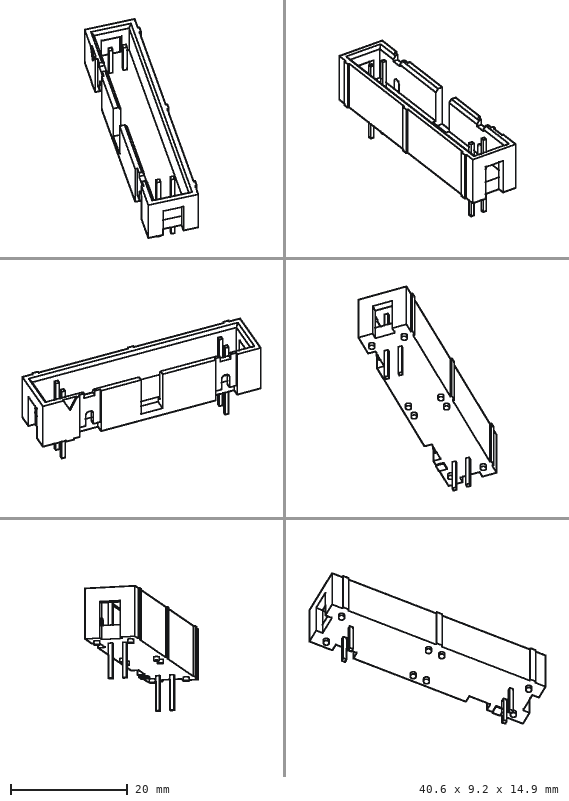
import cadquery as cq

LENGTH = 40.65
DEPTH = 8.9
HEIGHT = 8.8
FLOOR_TOP = 2.45
SIDE_WALL = 1.35
END_WALL = 1.25
RIM_CHAMFER_WIDTH = 0.45
RIM_CHAMFER_HEIGHT = 0.6
FRONT = -DEPTH / 2
BACK = DEPTH / 2

PIN_WIDTH = 0.65
PIN_SPAN_X = 30.5
PIN_PITCH = 2.5
PIN_TOP = 8.4
PIN_BOTTOM = -6.1

KEY_WIDTH = 4.02
KEY_DEPTH = 2.0
KEY_BOTTOM = 1.42

RECESS_CENTRES_X = (-11.45, 13.95)
RECESS_WIDTH = 4.0
RECESS_DEPTH = 0.4
RECESS_FOOT_HEIGHT = 1.7
LATCH_SLOT_WIDTH = 1.45
LATCH_SLOT_TOP = 4.67
RIM_NOTCH_WIDTH = 2.0
RIM_NOTCH_DEPTH = 0.98

WINDOW_WIDTH = 3.6
WINDOW_TOP = 6.4

MARK_X = -PIN_SPAN_X / 2
MARK_WIDTH = 2.5
MARK_HEIGHT = 2.45
MARK_DEPTH = 0.25
PAD_WIDTH = 1.5
PAD_HEIGHT = 0.25

RIB_WIDTH = 1.05
RIB_DEPTH = 0.3
STANDOFF_DIAMETER = 1.0
STANDOFF_HEIGHT = 0.6
STANDOFF_OUTER_X = 17.8
STANDOFF_INNER_X = 1.25
STANDOFF_Y = 3.0


def block(x_range, y_range, z_range):
    """Box spanning the given (low, high) ranges."""
    sizes = [high - low for low, high in (x_range, y_range, z_range)]
    corner = (x_range[0], y_range[0], z_range[0])
    return cq.Workplane("XY").box(*sizes, centered=False).translate(corner)


def around(centre, width):
    """Range of the given width about a centre."""
    return (centre - width / 2, centre + width / 2)


def housing():
    body = block(around(0, LENGTH), around(0, DEPTH), (0, HEIGHT))
    cavity_length = LENGTH - 2 * END_WALL
    cavity_depth = DEPTH - 2 * SIDE_WALL
    cavity = block(around(0, cavity_length), around(0, cavity_depth), (FLOOR_TOP, HEIGHT))
    lead_in = (
        cq.Workplane("XY", origin=(0, 0, HEIGHT - RIM_CHAMFER_HEIGHT))
        .rect(cavity_length, cavity_depth)
        .workplane(offset=RIM_CHAMFER_HEIGHT)
        .rect(cavity_length + 2 * RIM_CHAMFER_WIDTH, cavity_depth + 2 * RIM_CHAMFER_WIDTH)
        .loft(ruled=True)
    )
    return body.cut(cavity).cut(lead_in)


def key_slot():
    return block(around(0, KEY_WIDTH), (FRONT, FRONT + KEY_DEPTH), (KEY_BOTTOM, HEIGHT))


def latch_recess(x):
    """Shallow recess with a full-wall foot, a round-topped slot and a notch in the rim."""
    through_wall = (FRONT, FRONT + SIDE_WALL)
    recess = block(around(x, RECESS_WIDTH), (FRONT, FRONT + RECESS_DEPTH), (0, HEIGHT))
    foot = block(around(x, RECESS_WIDTH), through_wall, (0, RECESS_FOOT_HEIGHT))
    notch = block(around(x, RIM_NOTCH_WIDTH), through_wall, (HEIGHT - RIM_NOTCH_DEPTH, HEIGHT))
    radius = LATCH_SLOT_WIDTH / 2
    shoulder = LATCH_SLOT_TOP - radius
    slot = (
        cq.Workplane("XZ", origin=(x, FRONT, 0))
        .moveTo(-radius, 0)
        .lineTo(-radius, shoulder)
        .threePointArc((0, LATCH_SLOT_TOP), (radius, shoulder))
        .lineTo(radius, 0)
        .close()
        .extrude(-SIDE_WALL)
    )
    return recess.union(foot).union(notch).union(slot)


def end_window(side):
    """Opening through an end wall; below the floor level it continues as an open groove."""
    x = side * (LENGTH - END_WALL) / 2
    return block(around(x, END_WALL), around(0, WINDOW_WIDTH), (0, WINDOW_TOP))


def pin_one_mark():
    return (
        cq.Workplane("XZ", origin=(MARK_X, FRONT, HEIGHT))
        .polyline([(-MARK_WIDTH / 2, 0), (MARK_WIDTH / 2, 0), (0, -MARK_HEIGHT)])
        .close()
        .extrude(-MARK_DEPTH)
    )


def foot_pad():
    return block(around(MARK_X, PAD_WIDTH), (FRONT, FRONT + PAD_WIDTH), (-PAD_HEIGHT, 0))


def back_rib(x):
    return block(around(x, RIB_WIDTH), (BACK, BACK + RIB_DEPTH), (0, HEIGHT))


def standoffs():
    xs = (-STANDOFF_OUTER_X, -STANDOFF_INNER_X, STANDOFF_INNER_X, STANDOFF_OUTER_X)
    centres = [(x, y) for x in xs for y in (-STANDOFF_Y, STANDOFF_Y)]
    return (
        cq.Workplane("XY")
        .pushPoints(centres)
        .circle(STANDOFF_DIAMETER / 2)
        .extrude(-STANDOFF_HEIGHT)
    )


def pins():
    return (
        cq.Workplane("XY", origin=(0, 0, PIN_BOTTOM))
        .rarray(PIN_SPAN_X, PIN_PITCH, 2, 2)
        .rect(PIN_WIDTH, PIN_WIDTH)
        .extrude(PIN_TOP - PIN_BOTTOM)
    )


result = housing().cut(key_slot()).cut(pin_one_mark())
for recess_x in RECESS_CENTRES_X:
    result = result.cut(latch_recess(recess_x))
for end in (-1, 1):
    result = result.cut(end_window(end))
for rib_x in (-STANDOFF_OUTER_X, 0, STANDOFF_OUTER_X):
    result = result.union(back_rib(rib_x))
result = result.union(foot_pad()).union(standoffs()).union(pins())